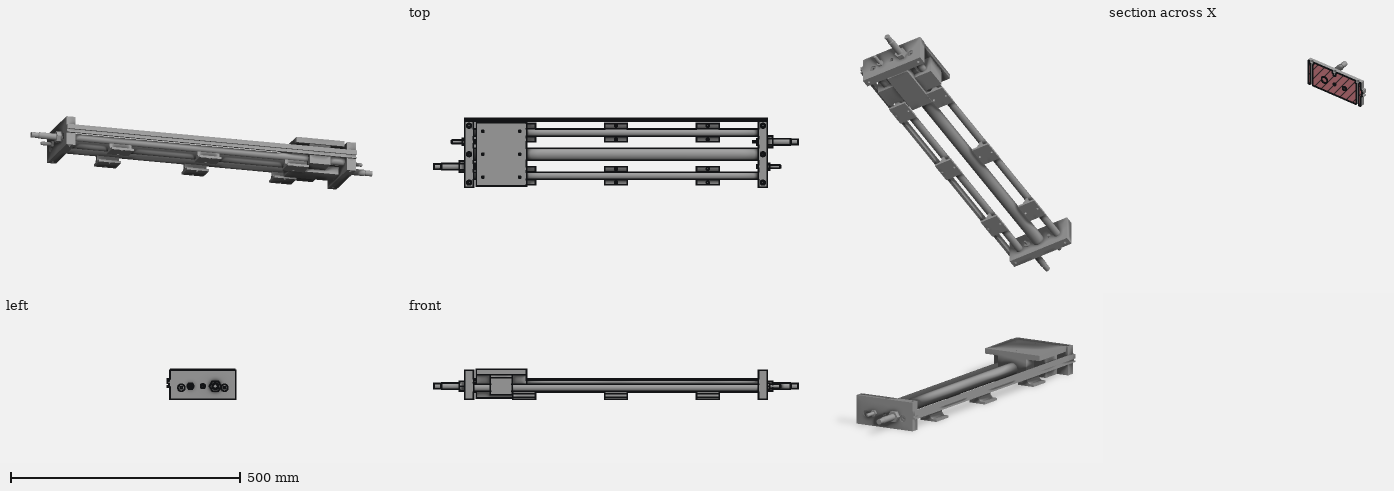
import cadquery as cq
import math

FRAME_LENGTH = 660.0
PLATE_THICKNESS = 20.0
PLATE_WIDTH = 144.0
PLATE_HEIGHT = 64.0
INNER_LENGTH = FRAME_LENGTH - 2 * PLATE_THICKNESS
PLATE_OUTER_X = FRAME_LENGTH / 2
PLATE_INNER_X = INNER_LENGTH / 2

PLATE_HOLE_Y = 62.0
PLATE_HOLE_DIAMETER = 5.8
PLATE_CBORE_DIAMETER = 10.0
PLATE_CBORE_DEPTH = 6.0
CENTRE_HOLE_DEPTH = 12.0
PORT_CBORE_DIAMETER = 10.0
PORT_CBORE_DEPTH = 2.0
PORT_HOLE_DIAMETER = 5.2
PORT_HOLE_DEPTH = 12.0
ROD_SCREW_CBORE_DIAMETER = 15.0
ROD_SCREW_CBORE_DEPTH = 2.0
ROD_SCREW_SOCKET_DIAMETER = 5.2
ROD_SCREW_SOCKET_DEPTH = 4.0

TUBE_DIAMETER = 26.4
TUBE_Z = 29.0
ROD_DIAMETER = 16.0
ROD_Y = 47.0
ROD_Z = 25.5

SUPPORT_PITCH = 200.0
SUPPORT_LENGTH = 50.0
SUPPORT_WIDTH = 40.0
SUPPORT_FLANGE_HEIGHT = 5.0
SUPPORT_FOOT_HEIGHT = 12.0
SUPPORT_FOOT_WIDTH = 18.0
SUPPORT_NECK_WIDTH = 6.0
SUPPORT_HOLE_DIAMETER = 5.2
SUPPORT_HOLE_PITCH = 30.0

RAIL_WIDTH = 6.0
RAIL_BASE_THICKNESS = 2.0
RAIL_BOTTOM_Z = 27.0
RAIL_SLOT_BOTTOM_Z = 30.0
RAIL_SLOT_TOP_Z = 35.0
RAIL_TOP_Z = 45.0
RAIL_GROOVE_WIDTH = 2.0
RAIL_GROOVE_DEPTH = 5.0

TABLE_LENGTH = 110.0
TABLE_WIDTH = 139.0
TABLE_BOTTOM_Z = 54.0
TABLE_TOP_Z = 66.0
TABLE_HOLE_DIAMETER = 4.3
TABLE_HOLE_DEPTH = 10.0
TABLE_HOLE_PITCH_X = 80.0
TABLE_HOLE_PITCH_Y = 50.0
CARRIAGE_X = -250.0
SLIDER_WIDTH = 72.0
SLIDER_BOTTOM_Z = 3.0
SLIDER_STEP_Z = 20.0
KEEL_WIDTH = 50.0
HOUSING_LENGTH = 47.0
HOUSING_OUTER_Y = 66.5
HOUSING_BOTTOM_Z = 10.0
HOUSING_TOP_Z = 47.0
SPACER_INSET = 1.0

STOP_Y = 27.0
STOP_INNER_REACH = 3.0
SHOCK_DIAMETER = 14.0
SHOCK_TIP_X = 397.0
SHOCK_CAP_LENGTH = 15.0
SHOCK_CAP_DIAMETER = 12.0
SHOCK_NUT_SIZE = 22.0
SHOCK_NUT_HEIGHT = 11.0
SHOCK_CHAMFER = 2.5
SHOCK_ROD_DIAMETER = 4.0
SHOCK_ROD_REACH = 12.0
BOLT_DIAMETER = 8.0
BOLT_TIP_X = 358.5
BOLT_CHAMFER = 2.0
BOLT_NUT_SIZE = 13.0
BOLT_NUT_HEIGHT = 5.0
CARRIAGE_GAP = CARRIAGE_X - TABLE_LENGTH / 2 + PLATE_INNER_X


def block(x_range, y_range, z_range):
    """Box spanning the given ranges."""
    size = [high - low for low, high in (x_range, y_range, z_range)]
    return cq.Workplane("XY").box(*size, centered=False).translate((x_range[0], y_range[0], z_range[0]))


def bar(x_start, x_end, y, z, diameter):
    """Round bar along X."""
    return cq.Workplane("YZ", origin=(x_start, y, z)).circle(diameter / 2).extrude(x_end - x_start)


def drill_down(x, y, z_top, diameter, depth):
    """Vertical cylinder going down from z_top."""
    return cq.Workplane("XY", origin=(x, y, z_top)).circle(diameter / 2).extrude(-depth)


def hex_nut(x_start, height, y, z, across_flats):
    """Hexagonal nut along X with two horizontal flats."""
    across_corners = across_flats / math.cos(math.pi / 6)
    return cq.Workplane("YZ", origin=(x_start, y, z)).polygon(6, across_corners).extrude(height)


def half_turn(shape):
    """Swap the two ends by half a turn about the Z axis."""
    return shape.rotate((0, 0, 0), (0, 0, 1), 180)


def end_plate():
    """End plate at the +X end, with all its bores."""
    half_width = PLATE_WIDTH / 2
    plate = block((PLATE_INNER_X, PLATE_OUTER_X), (-half_width, half_width), (0, PLATE_HEIGHT))
    mid_x = PLATE_OUTER_X - PLATE_THICKNESS / 2
    hole_depths = {-PLATE_HOLE_Y: PLATE_HEIGHT, 0: CENTRE_HOLE_DEPTH, PLATE_HOLE_Y: PLATE_HEIGHT}
    for y, depth in hole_depths.items():
        plate = plate.cut(drill_down(mid_x, y, PLATE_HEIGHT, PLATE_HOLE_DIAMETER, depth))
        plate = plate.cut(drill_down(mid_x, y, PLATE_HEIGHT, PLATE_CBORE_DIAMETER, PLATE_CBORE_DEPTH))
    plate = plate.cut(bar(PLATE_OUTER_X - PORT_CBORE_DEPTH, PLATE_OUTER_X, 0, TUBE_Z, PORT_CBORE_DIAMETER))
    plate = plate.cut(bar(PLATE_OUTER_X - PORT_HOLE_DEPTH, PLATE_OUTER_X, 0, TUBE_Z, PORT_HOLE_DIAMETER))
    for y in (-ROD_Y, ROD_Y):
        cbore_x = PLATE_OUTER_X - ROD_SCREW_CBORE_DEPTH
        plate = plate.cut(bar(cbore_x, PLATE_OUTER_X, y, ROD_Z, ROD_SCREW_CBORE_DIAMETER))
        socket_x = cbore_x - ROD_SCREW_SOCKET_DEPTH
        plate = plate.cut(bar(socket_x, cbore_x, y, ROD_Z, ROD_SCREW_SOCKET_DIAMETER))
    plate = plate.cut(bar(PLATE_INNER_X, PLATE_OUTER_X, STOP_Y, TUBE_Z, SHOCK_DIAMETER))
    return plate.cut(bar(PLATE_INNER_X, PLATE_OUTER_X, -STOP_Y, TUBE_Z, BOLT_DIAMETER))


def rod_support(x, y):
    """Support with a drilled flange and a stem that narrows towards the rod."""
    profile = [
        (SUPPORT_WIDTH / 2, 0),
        (SUPPORT_WIDTH / 2, SUPPORT_FLANGE_HEIGHT),
        (SUPPORT_FOOT_WIDTH / 2, SUPPORT_FLANGE_HEIGHT),
        (SUPPORT_NECK_WIDTH / 2, SUPPORT_FOOT_HEIGHT),
        (SUPPORT_NECK_WIDTH / 2, ROD_Z),
    ]
    outline = profile + [(-u, z) for u, z in reversed(profile)]
    end_face = cq.Workplane("YZ", origin=(x - SUPPORT_LENGTH / 2, y, 0)).polyline(outline).close()
    support = end_face.extrude(SUPPORT_LENGTH)
    for side in (-1, 1):
        hole_y = y + side * SUPPORT_HOLE_PITCH / 2
        hole = drill_down(x, hole_y, SUPPORT_FLANGE_HEIGHT, SUPPORT_HOLE_DIAMETER, SUPPORT_FLANGE_HEIGHT)
        support = support.cut(hole)
    return support


def sensor_rail():
    """Slotted rail along the +Y faces of the end plates."""
    back_y = PLATE_WIDTH / 2
    base_y = back_y + RAIL_BASE_THICKNESS
    front_y = back_y + RAIL_WIDTH
    x_range = (-PLATE_OUTER_X, PLATE_OUTER_X)
    rail = block(x_range, (back_y, front_y), (RAIL_BOTTOM_Z, RAIL_TOP_Z))
    side_slot = block(x_range, (base_y, front_y), (RAIL_SLOT_BOTTOM_Z, RAIL_SLOT_TOP_Z))
    groove_y = (base_y, base_y + RAIL_GROOVE_WIDTH)
    top_groove = block(x_range, groove_y, (RAIL_TOP_Z - RAIL_GROOVE_DEPTH, RAIL_TOP_Z))
    return rail.cut(side_slot).cut(top_groove)


def make_frame():
    """End plates, tube, guide rods, rod supports and sensor rail as one body."""
    frame = end_plate().union(half_turn(end_plate()))
    frame = frame.union(bar(-PLATE_INNER_X, PLATE_INNER_X, 0, TUBE_Z, TUBE_DIAMETER))
    for y in (-ROD_Y, ROD_Y):
        frame = frame.union(bar(-PLATE_INNER_X, PLATE_INNER_X, y, ROD_Z, ROD_DIAMETER))
        for x in (-SUPPORT_PITCH, 0, SUPPORT_PITCH):
            frame = frame.union(rod_support(x, y))
    return frame.union(sensor_rail())


def make_carriage():
    """Table, slider around the tube and bearing housings around the rods, parked at the -X end."""
    x_range = (CARRIAGE_X - TABLE_LENGTH / 2, CARRIAGE_X + TABLE_LENGTH / 2)
    carriage = block(x_range, (-TABLE_WIDTH / 2, TABLE_WIDTH / 2), (TABLE_BOTTOM_Z, TABLE_TOP_Z))
    for side_x in (-1, 1):
        for row in (-1, 0, 1):
            x = CARRIAGE_X + side_x * TABLE_HOLE_PITCH_X / 2
            y = row * TABLE_HOLE_PITCH_Y
            carriage = carriage.cut(drill_down(x, y, TABLE_TOP_Z, TABLE_HOLE_DIAMETER, TABLE_HOLE_DEPTH))
    slider_y = (-SLIDER_WIDTH / 2, SLIDER_WIDTH / 2)
    carriage = carriage.union(block(x_range, slider_y, (SLIDER_STEP_Z, TABLE_BOTTOM_Z)))
    keel_y = (-KEEL_WIDTH / 2, KEEL_WIDTH / 2)
    carriage = carriage.union(block(x_range, keel_y, (SLIDER_BOTTOM_Z, SLIDER_STEP_Z)))
    housing_x = (CARRIAGE_X - HOUSING_LENGTH / 2, CARRIAGE_X + HOUSING_LENGTH / 2)
    housing_y = (-HOUSING_OUTER_Y, HOUSING_OUTER_Y)
    carriage = carriage.union(block(housing_x, housing_y, (HOUSING_BOTTOM_Z, HOUSING_TOP_Z)))
    spacer_y = (-HOUSING_OUTER_Y + SPACER_INSET, HOUSING_OUTER_Y - SPACER_INSET)
    carriage = carriage.union(block(housing_x, spacer_y, (HOUSING_TOP_Z, TABLE_BOTTOM_Z)))
    carriage = carriage.cut(bar(*x_range, 0, TUBE_Z, TUBE_DIAMETER))
    for y in (-ROD_Y, ROD_Y):
        carriage = carriage.cut(bar(*x_range, y, ROD_Z, ROD_DIAMETER))
    return carriage


def make_shock_absorber(rod_reach):
    """Shock absorber through the +X end plate, its rod reaching inwards from the plate."""
    cap_x = SHOCK_TIP_X - SHOCK_CAP_LENGTH
    shock = bar(PLATE_INNER_X - STOP_INNER_REACH, cap_x, STOP_Y, TUBE_Z, SHOCK_DIAMETER)
    shock = shock.faces(">X").chamfer(SHOCK_CHAMFER)
    shock = shock.union(bar(cap_x, SHOCK_TIP_X, STOP_Y, TUBE_Z, SHOCK_CAP_DIAMETER))
    nut = hex_nut(PLATE_OUTER_X, SHOCK_NUT_HEIGHT, STOP_Y, TUBE_Z, SHOCK_NUT_SIZE)
    rod = bar(PLATE_INNER_X - rod_reach, PLATE_INNER_X, STOP_Y, TUBE_Z, SHOCK_ROD_DIAMETER)
    return shock.union(nut).union(rod)


def make_stop_bolt():
    """Stop bolt with its lock nut, through the +X end plate."""
    bolt = bar(PLATE_INNER_X - STOP_INNER_REACH, BOLT_TIP_X, -STOP_Y, TUBE_Z, BOLT_DIAMETER)
    bolt = bolt.faces(">X").chamfer(BOLT_CHAMFER)
    return bolt.union(hex_nut(PLATE_OUTER_X, BOLT_NUT_HEIGHT, -STOP_Y, TUBE_Z, BOLT_NUT_SIZE))


frame = make_frame()
carriage = make_carriage()
free_shock = make_shock_absorber(SHOCK_ROD_REACH)
pressed_shock = half_turn(make_shock_absorber(CARRIAGE_GAP))
stop_bolts = [make_stop_bolt(), half_turn(make_stop_bolt())]

result = cq.Compound.makeCompound(
    [frame.val(), carriage.val(), free_shock.val(), pressed_shock.val(), *[bolt.val() for bolt in stop_bolts]]
)